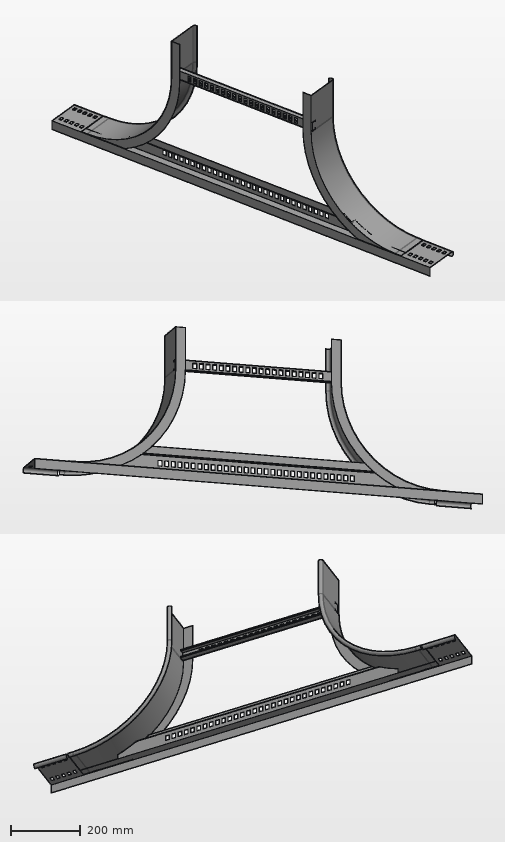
import cadquery as cq
import math

LENGTH = 1350.0
DEPTH = 115.0
SHEET = 1.2

RAIL_TOP = 30.0
CURL_RADIUS = 8.5
ARM = 125.0
RAIL_END_LENGTH = 104.0
HALF_LENGTH = LENGTH / 2
HALF_DEPTH = DEPTH / 2
MIDDLE_HALF = HALF_LENGTH - RAIL_END_LENGTH

SIDE_DEPTH = DEPTH - 2 * SHEET
SIDE_FLANGE = 30.0
SIDE_CURL_RADIUS = 7.5
BEND_RADIUS = 300.0
CURL_RELIEF = 5.0
BEND_X = -(HALF_LENGTH - ARM)
BEND_Z = RAIL_TOP + SHEET + BEND_RADIUS
SIDE_TOP = BEND_Z + ARM
SIDE_BACK_RADIUS = BEND_RADIUS + SHEET
SIDE_INNER_X = -BEND_X - SIDE_BACK_RADIUS

RUNG_FRONT = -49.5
RUNG_REAR = -33.0
RUNG_HEIGHT = 30.0
RUNG_LIP = 5.0
RUNG_BOTTOM = BEND_Z

WALL_HALF_LENGTH = 450.0
JOGGLE_Z = 73.0
WALL_TOP = 96.5
WALL_CLEARANCE = 2.0

SLOT_PITCH = 20.0
SLOT_WIDTH = 11.0
SLOT_HEIGHT = 16.0
WALL_SLOTS = 30
RUNG_SLOTS = 20

SPLICE_COUNT = 5
SPLICE_PITCH = 18.3
SPLICE_WIDTH = 8.0
SPLICE_LENGTH = 12.0
SPLICE_Y = 32.5
SPLICE_END_GAP = 15.0


def block(x0, x1, y0, y1, z0, z1):
    return cq.Workplane("XY").box(x1 - x0, y1 - y0, z1 - z0, centered=False).translate((x0, y0, z0))


def mirrored(body):
    return body.mirror("YZ")


def channel_section(x, top, depth, flange, curl_radius):
    """Channel outline across X: front flange, web on top, and a half-round curl at the rear."""
    front = -depth / 2
    rear = depth / 2
    curl_y = rear - curl_radius
    curl_z = top - curl_radius
    curl_end = top - 2 * curl_radius
    return (
        cq.Workplane("YZ", origin=(x, 0, 0))
        .moveTo(front, top - flange)
        .lineTo(front, top)
        .lineTo(curl_y, top)
        .threePointArc((rear, curl_z), (curl_y, curl_end))
        .lineTo(curl_y, curl_end + SHEET)
        .threePointArc((rear - SHEET, curl_z), (curl_y, top - SHEET))
        .lineTo(front + SHEET, top - SHEET)
        .lineTo(front + SHEET, top - flange)
        .close()
    )


def slot_row(count, z, y):
    """Rectangular upright slots, centred on X = 0, passing through a wall at y."""
    return (
        cq.Workplane("XZ", origin=(0, y, z))
        .rarray(SLOT_PITCH, 1, count, 1)
        .rect(SLOT_WIDTH, SLOT_HEIGHT)
        .extrude(2 * SHEET, both=True)
    )


def rail_end():
    """Left end of the base rail: full channel with two rows of splice slots."""
    end = channel_section(-HALF_LENGTH, RAIL_TOP, DEPTH, RAIL_TOP, CURL_RADIUS).extrude(RAIL_END_LENGTH)
    row_length = (SPLICE_COUNT - 1) * SPLICE_PITCH
    slots = (
        cq.Workplane("XY", origin=(-HALF_LENGTH + SPLICE_END_GAP + row_length / 2, 0, RAIL_TOP))
        .rarray(SPLICE_PITCH, 2 * SPLICE_Y, SPLICE_COUNT, 2)
        .rect(SPLICE_WIDTH, SPLICE_LENGTH)
        .extrude(-2 * SHEET)
    )
    return end.cut(slots)


def slotted_wall():
    """Wall rising from the rail, stepping forward at the joggle, with ends cut to the bends."""
    x = WALL_HALF_LENGTH
    wall = block(-x, x, RUNG_REAR - SHEET, RUNG_REAR, RAIL_TOP - SHEET, JOGGLE_Z)
    step = block(-x, x, RUNG_FRONT, RUNG_REAR, JOGGLE_Z, JOGGLE_Z + SHEET)
    upright = block(-x, x, RUNG_FRONT, RUNG_FRONT + SHEET, JOGGLE_Z, WALL_TOP)
    body = wall.union(step).union(upright)
    body = body.cut(slot_row(WALL_SLOTS, (RAIL_TOP + JOGGLE_Z) / 2, RUNG_REAR))
    for centre_x in (BEND_X, -BEND_X):
        bend = (
            cq.Workplane("XZ", origin=(centre_x, 0, BEND_Z))
            .circle(SIDE_BACK_RADIUS + WALL_CLEARANCE)
            .extrude(DEPTH / 2, both=True)
        )
        body = body.cut(bend)
    return body


def base_rail():
    middle_flange = block(-MIDDLE_HALF, MIDDLE_HALF, -HALF_DEPTH, -HALF_DEPTH + SHEET, 0, RAIL_TOP)
    middle_web = block(-MIDDLE_HALF, MIDDLE_HALF, -HALF_DEPTH, RUNG_REAR, RAIL_TOP - SHEET, RAIL_TOP)
    left_end = rail_end()
    body = middle_flange.union(middle_web).union(slotted_wall())
    return body.union(left_end).union(mirrored(left_end))


def curved_side():
    """Left side rail: foot on the base rail, quarter bend, then straight up."""
    foot_z = BEND_Z - BEND_RADIUS
    upright_x = BEND_X + BEND_RADIUS
    diagonal = BEND_RADIUS * math.cos(math.radians(45))
    path = (
        cq.Workplane("XZ")
        .moveTo(-MIDDLE_HALF, foot_z)
        .lineTo(BEND_X, foot_z)
        .threePointArc((BEND_X + diagonal, BEND_Z - diagonal), (upright_x, BEND_Z))
        .lineTo(upright_x, SIDE_TOP)
    )
    section = channel_section(-MIDDLE_HALF, foot_z, SIDE_DEPTH, SIDE_FLANGE, SIDE_CURL_RADIUS)
    side = section.sweep(path)
    rail_space = block(-MIDDLE_HALF, 0, -HALF_DEPTH, RUNG_REAR, 0, RAIL_TOP)
    relief = block(
        -MIDDLE_HALF, -MIDDLE_HALF + CURL_RELIEF,
        SIDE_DEPTH / 2 - SIDE_CURL_RADIUS, HALF_DEPTH, 0, foot_z,
    )
    return side.cut(rail_space).cut(relief)


def cross_rung():
    """Lipped channel spanning the side rails, with its slotted wall at the front."""
    x = SIDE_INNER_X
    top = RUNG_BOTTOM + RUNG_HEIGHT
    body = block(-x, x, RUNG_FRONT, RUNG_REAR, RUNG_BOTTOM, top)
    hollow = block(-x, x, RUNG_FRONT + SHEET, RUNG_REAR - SHEET, RUNG_BOTTOM + SHEET, top - SHEET)
    opening = block(-x, x, RUNG_REAR - SHEET, RUNG_REAR, RUNG_BOTTOM + RUNG_LIP, top - RUNG_LIP)
    slots = slot_row(RUNG_SLOTS, RUNG_BOTTOM + RUNG_HEIGHT / 2, RUNG_FRONT)
    return body.cut(hollow).cut(opening).cut(slots)


rail = base_rail()
left_side = curved_side()
right_side = mirrored(left_side)
rung = cross_rung()

result = cq.Compound.makeCompound([rail.val(), left_side.val(), right_side.val(), rung.val()])